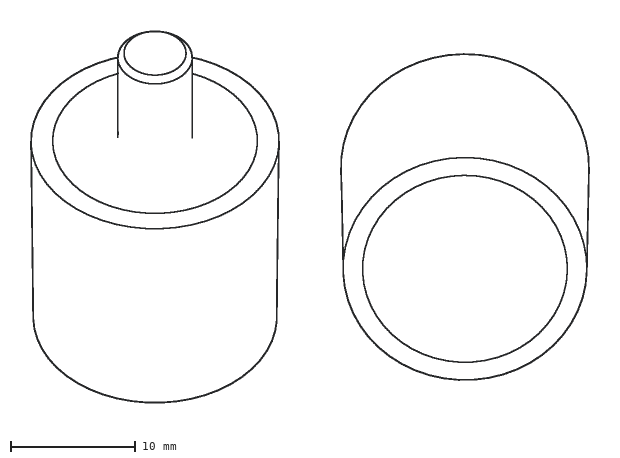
import cadquery as cq
import math

overall_height = 30.0
top_radius = overall_height / 3
body_height = overall_height * 2 / 3
wall_draft = 0.5
core_radius = 8.25
stud_radius = 3.0
stud_edge_size = stud_radius / 6

base_radius = top_radius - body_height * math.tan(math.radians(wall_draft))
stud_height = overall_height - body_height


def make_sleeve():
    """Tapered outer sleeve with a plain bore for the core."""
    cone = cq.Solid.makeCone(base_radius, top_radius, body_height)
    bore = cq.Workplane("XY").circle(core_radius).extrude(body_height)
    return cq.Workplane(cone).cut(bore)


def make_studded_core():
    """Core flush with both ends of the sleeve, with a stud on its top face."""
    core = cq.Workplane("XY").circle(core_radius).extrude(body_height)
    stud = (
        cq.Workplane("XY", origin=(0, 0, body_height))
        .circle(stud_radius)
        .extrude(stud_height)
        .faces(">Z")
        .chamfer(stud_edge_size)
    )
    joined = core.union(stud)
    root_edge = joined.edges(cq.NearestToPointSelector((0, 0, body_height)))
    return root_edge.fillet(stud_edge_size)


sleeve = make_sleeve()
studded_core = make_studded_core()

result = cq.Compound.makeCompound([sleeve.val(), studded_core.val()])